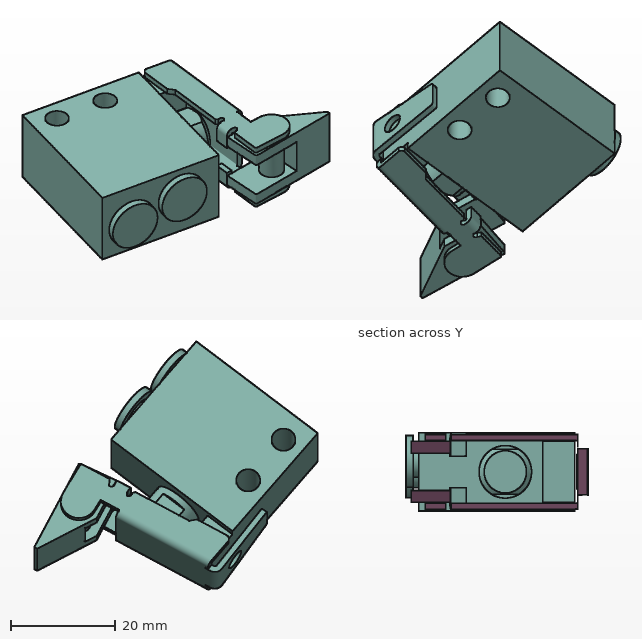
import cadquery as cq
import math

HOUSING_LENGTH = 30.0
HOUSING_DEPTH = 26.0
HOUSING_HEIGHT = 15.0
MOUNT_HOLE_DIAMETER = 4.55
MOUNT_HOLE_X = 4.25
MOUNT_HOLE_YS = (5.2, 15.95)

LUG_LENGTH = 6.15
LUG_TOP_Y = 32.95

PLUNGER_X = 13.35
PLUNGER_RADIUS = 5.05
PLUNGER_HEIGHT = 5.55
PLUNGER_CHAMFER = 1.0
PLUNGER_FLAT_WIDTH = 5.2
PLUNGER_FLAT_START = 1.4

FITTING_CENTRES = ((5.85, 0), (16.9, 2.05))
COLLAR_RADIUS = 3.05
COLLAR_LENGTH = 1.05
FLANGE_RADIUS = 5.0
FLANGE_LENGTH = 1.4

LEVER_ORIGIN = (-0.55, 32.85, 0)
LEVER_ANGLE = 9.2
LEVER_HALF_WIDTH = 7.15
SHEET = 1.2
FOLD_RADIUS = 1.3
FOLD_INNER_RADIUS = FOLD_RADIUS - SHEET
SPINE_END = 20.6

EAR_FOOT_V = -5.7
EAR_FOOT_END = 6.6
EAR_FOOT_RADIUS = 1.05
EAR_STEP_RUN = 1.2
EAR_MIDDLE_V = -4.75
EAR_MIDDLE_CHAMFER = 0.4
EAR_TOE_V = -4.55
EAR_TOE_RADIUS = 0.3
EAR_TIP_U = 28.15
EAR_TIP_V = 2.3
EAR_TIP_RADIUS = 3.5

TAB_START = 21.05
TAB_END = 24.0
TAB_FOLD_V = -4.1
TAB_EDGE_Z = 3.0
NOTCH_RADIUS = 0.45
NOTCH_CENTRE_V = -3.8
NOTCH_FLARE = 0.35

STRAP_BEND_START = -0.3
STRAP_LEAN = 3.7
STRAP_BEND_RADIUS = 1.7
STRAP_LENGTH = 14.95
STRAP_HALF_WIDTH = 4.45
STRAP_END_HALF_WIDTH = 3.2
STRAP_CORNER_RADIUS = 0.45
STRAP_HOLE_DIAMETER = 4.0
STRAP_HOLE_DISTANCE = 4.35
RELIEF_WIDTH = 0.3
RELIEF_DEPTH = 0.8

WEDGE_ORIGIN = (32.05, 33.1, 0)
WEDGE_ANGLE = 12.5
WEDGE_WIDTH = 8.05
WEDGE_HEIGHT = 19.35
WEDGE_SHOULDER = 8.65
WEDGE_TIP_WIDTH = 0.7
WEDGE_HEEL_RADIUS = 0.3
WEDGE_HALF_WIDTH = 5.85
SLOT_HALF_WIDTH = 3.55
SLOT_DEPTH = 10.65
HUB_RADIUS = 2.45

LUG_HALF_WIDTH = WEDGE_HALF_WIDTH
EAR_INNER_Z = LEVER_HALF_WIDTH - SHEET


def tilted_plane(origin, angle):
    """Plane normal to Z whose u axis is turned by angle from X."""
    turn = math.radians(angle)
    return cq.Plane(origin=origin, xDir=(math.cos(turn), math.sin(turn), 0), normal=(0, 0, 1))


LEVER_PLANE = tilted_plane(LEVER_ORIGIN, LEVER_ANGLE)
WEDGE_PLANE = tilted_plane(WEDGE_ORIGIN, WEDGE_ANGLE)


def make_block():
    block = cq.Workplane("XY").box(
        HOUSING_LENGTH, HOUSING_DEPTH, HOUSING_HEIGHT, centered=(False, False, True)
    )
    holes = (
        cq.Workplane("XY")
        .pushPoints([(MOUNT_HOLE_X, y) for y in MOUNT_HOLE_YS])
        .circle(MOUNT_HOLE_DIAMETER / 2)
        .extrude(HOUSING_HEIGHT, both=True)
    )
    return block.cut(holes)


def make_lug():
    height = LUG_TOP_Y - HOUSING_DEPTH
    return (
        cq.Workplane("XY")
        .box(LUG_LENGTH, height, 2 * LUG_HALF_WIDTH, centered=(False, False, True))
        .translate((0, HOUSING_DEPTH, 0))
    )


def make_plunger():
    """Chamfered cylinder along Y with a flat on its +Z and -Z sides."""
    plunger = (
        cq.Workplane("XZ", origin=(PLUNGER_X, HOUSING_DEPTH, 0))
        .circle(PLUNGER_RADIUS)
        .extrude(-PLUNGER_HEIGHT)
        .faces(">Y")
        .chamfer(PLUNGER_CHAMFER)
    )
    flat_z = math.sqrt(PLUNGER_RADIUS**2 - (PLUNGER_FLAT_WIDTH / 2) ** 2)
    flat_cut = (
        cq.Workplane("XY")
        .box(2 * PLUNGER_RADIUS, PLUNGER_HEIGHT, PLUNGER_RADIUS, centered=(True, False, False))
        .translate((PLUNGER_X, HOUSING_DEPTH + PLUNGER_FLAT_START, flat_z))
    )
    return plunger.cut(flat_cut).cut(flat_cut.mirror("XY"))


def make_fitting(y, z):
    return (
        cq.Workplane("YZ", origin=(HOUSING_LENGTH, y, z))
        .circle(COLLAR_RADIUS)
        .extrude(COLLAR_LENGTH)
        .faces(">X")
        .workplane()
        .circle(FLANGE_RADIUS)
        .extrude(FLANGE_LENGTH)
    )


def make_housing():
    housing = make_block().union(make_lug()).union(make_plunger())
    for y, z in FITTING_CENTRES:
        housing = housing.union(make_fitting(y, z))
    return housing


def front_edge_u(v):
    """The lever's front edge runs parallel to Y."""
    return v * math.tan(math.radians(LEVER_ANGLE))


def make_ear():
    """Upper side plate of the lever, with its rounded tip beside the wedge."""
    toe_u = EAR_TIP_U + EAR_TIP_RADIUS
    tip_back_u = EAR_TIP_U - EAR_TIP_RADIUS
    lean = math.radians(LEVER_ANGLE)
    foot_setback = EAR_FOOT_RADIUS * math.tan((math.pi / 2 - lean) / 2)
    foot_arc_v = EAR_FOOT_V + foot_setback * math.cos(lean)
    notch_start = TAB_START - 2 * NOTCH_RADIUS
    notch_end = TAB_END + 2 * NOTCH_RADIUS
    notch_top = NOTCH_CENTRE_V + NOTCH_RADIUS
    return (
        cq.Workplane(LEVER_PLANE)
        .workplane(offset=EAR_INNER_Z)
        .moveTo(0, 0)
        .lineTo(front_edge_u(foot_arc_v), foot_arc_v)
        .radiusArc((front_edge_u(EAR_FOOT_V) + foot_setback, EAR_FOOT_V), -EAR_FOOT_RADIUS)
        .lineTo(EAR_FOOT_END, EAR_FOOT_V)
        .lineTo(EAR_FOOT_END + EAR_STEP_RUN, EAR_MIDDLE_V)
        .lineTo(notch_start - EAR_MIDDLE_CHAMFER, EAR_MIDDLE_V)
        .lineTo(notch_start, EAR_MIDDLE_V + EAR_MIDDLE_CHAMFER)
        .lineTo(notch_start, NOTCH_CENTRE_V)
        .threePointArc((notch_start + NOTCH_RADIUS, notch_top), (TAB_START, NOTCH_CENTRE_V))
        .lineTo(TAB_START, TAB_FOLD_V)
        .lineTo(TAB_END, TAB_FOLD_V)
        .lineTo(TAB_END, NOTCH_CENTRE_V)
        .threePointArc((TAB_END + NOTCH_RADIUS, notch_top), (notch_end, NOTCH_CENTRE_V))
        .lineTo(notch_end + NOTCH_FLARE, EAR_TOE_V)
        .lineTo(toe_u - EAR_TOE_RADIUS, EAR_TOE_V)
        .radiusArc((toe_u, EAR_TOE_V + EAR_TOE_RADIUS), -EAR_TOE_RADIUS)
        .lineTo(toe_u, EAR_TIP_V)
        .threePointArc((EAR_TIP_U, EAR_TIP_V + EAR_TIP_RADIUS), (tip_back_u, EAR_TIP_V))
        .lineTo(tip_back_u, 0)
        .close()
        .extrude(SHEET)
    )


def make_fold(start, length, hinge_v, v_sign, flat_edge_z):
    """Sheet that folds off the upper ear at hinge_v and runs inward to flat_edge_z.

    It covers length along the spine from start; v_sign gives the v direction of the fold.
    """
    outer, inner = FOLD_RADIUS, FOLD_INNER_RADIUS
    bend_z = LEVER_HALF_WIDTH - FOLD_RADIUS
    diagonal = math.sqrt(0.5)
    section_plane = cq.Plane(
        origin=LEVER_PLANE.toWorldCoords((start, hinge_v, 0)),
        xDir=LEVER_PLANE.yDir * v_sign,
        normal=LEVER_PLANE.xDir * v_sign,
    )
    return (
        cq.Workplane(section_plane)
        .moveTo(0, LEVER_HALF_WIDTH)
        .threePointArc((outer * diagonal, bend_z + outer * diagonal), (outer, bend_z))
        .lineTo(outer, flat_edge_z)
        .lineTo(inner, flat_edge_z)
        .lineTo(inner, bend_z)
        .threePointArc((inner * diagonal, bend_z + inner * diagonal), (0, EAR_INNER_Z))
        .close()
        .extrude(v_sign * length)
    )


def make_lever_half():
    """Upper half of the folded lever: ear, half of the spine, and retaining tab."""
    front_overrun = 0.5
    front_x = LEVER_ORIGIN[0]
    spine = make_fold(-front_overrun, SPINE_END + front_overrun, 0, 1, 0)
    front_trim = (
        cq.Workplane("XY")
        .box(2 * front_overrun, 4 * FOLD_RADIUS, HOUSING_HEIGHT)
        .translate((front_x - front_overrun, LEVER_ORIGIN[1], 0))
    )
    relief = (
        cq.Workplane(LEVER_PLANE)
        .workplane(offset=STRAP_HALF_WIDTH)
        .rect(2 * RELIEF_DEPTH, 4 * FOLD_RADIUS)
        .extrude(RELIEF_WIDTH)
    )
    tab = make_fold(TAB_START, TAB_END - TAB_START, TAB_FOLD_V, -1, TAB_EDGE_Z)
    return spine.cut(front_trim).cut(relief).union(make_ear()).union(tab)


def make_strap():
    """Strap that bends off the front of the spine and tapers to a rounded end."""
    turn = 90 + STRAP_LEAN - LEVER_ANGLE
    bend_inner_radius = STRAP_BEND_RADIUS - SHEET
    bend_v = FOLD_RADIUS - STRAP_BEND_RADIUS

    def bend_point(radius, angle):
        direction = math.radians(90 + angle)
        return (STRAP_BEND_START + radius * math.cos(direction), bend_v + radius * math.sin(direction))

    bend = (
        cq.Workplane(LEVER_PLANE)
        .moveTo(RELIEF_DEPTH, FOLD_RADIUS)
        .lineTo(*bend_point(STRAP_BEND_RADIUS, 0))
        .threePointArc(bend_point(STRAP_BEND_RADIUS, turn / 2), bend_point(STRAP_BEND_RADIUS, turn))
        .lineTo(*bend_point(bend_inner_radius, turn))
        .threePointArc(bend_point(bend_inner_radius, turn / 2), bend_point(bend_inner_radius, 0))
        .lineTo(RELIEF_DEPTH, FOLD_INNER_RADIUS)
        .close()
        .extrude(STRAP_HALF_WIDTH, both=True)
    )

    lean = math.radians(STRAP_LEAN)
    u, v = bend_point(bend_inner_radius, turn)
    strap_plane = cq.Plane(
        origin=LEVER_PLANE.toWorldCoords((u, v, 0)),
        xDir=(math.sin(lean), -math.cos(lean), 0),
        normal=(-math.cos(lean), -math.sin(lean), 0),
    )
    plate = (
        cq.Workplane(strap_plane)
        .polyline([
            (0, -STRAP_HALF_WIDTH),
            (STRAP_LENGTH, -STRAP_END_HALF_WIDTH),
            (STRAP_LENGTH, STRAP_END_HALF_WIDTH),
            (0, STRAP_HALF_WIDTH),
        ])
        .close()
        .extrude(SHEET)
    )
    through_edges = cq.selectors.ParallelDirSelector(strap_plane.zDir)
    plate = plate.edges(through_edges).edges("<Y").fillet(STRAP_CORNER_RADIUS)
    hole = (
        cq.Workplane(strap_plane)
        .center(STRAP_HOLE_DISTANCE, 0)
        .circle(STRAP_HOLE_DIAMETER / 2)
        .extrude(SHEET)
    )
    return bend.union(plate.cut(hole))


def make_lever():
    half = make_lever_half()
    return half.union(half.mirror("XY")).union(make_strap())


def make_wedge():
    """Slotted wedge with a round hub left standing between its two cheeks."""
    body = (
        cq.Workplane(WEDGE_PLANE)
        .moveTo(-WEDGE_HEEL_RADIUS, 0)
        .radiusArc((0, WEDGE_HEEL_RADIUS), -WEDGE_HEEL_RADIUS)
        .lineTo(0, WEDGE_HEIGHT)
        .lineTo(-WEDGE_TIP_WIDTH, WEDGE_HEIGHT)
        .lineTo(-WEDGE_WIDTH, WEDGE_SHOULDER)
        .lineTo(-WEDGE_WIDTH, 0)
        .close()
        .extrude(WEDGE_HALF_WIDTH, both=True)
    )
    slot = (
        cq.Workplane(WEDGE_PLANE)
        .rect(4 * WEDGE_WIDTH, 2 * SLOT_DEPTH)
        .extrude(SLOT_HALF_WIDTH, both=True)
    )
    hub = (
        cq.Workplane(LEVER_PLANE)
        .center(EAR_TIP_U, EAR_TIP_V)
        .circle(HUB_RADIUS)
        .extrude(WEDGE_HALF_WIDTH, both=True)
    )
    return body.cut(slot).union(hub)


housing = make_housing()
lever = make_lever()
wedge = make_wedge()

bodies = [housing, lever, wedge]
result = cq.Compound.makeCompound([body.solids().val() for body in bodies])